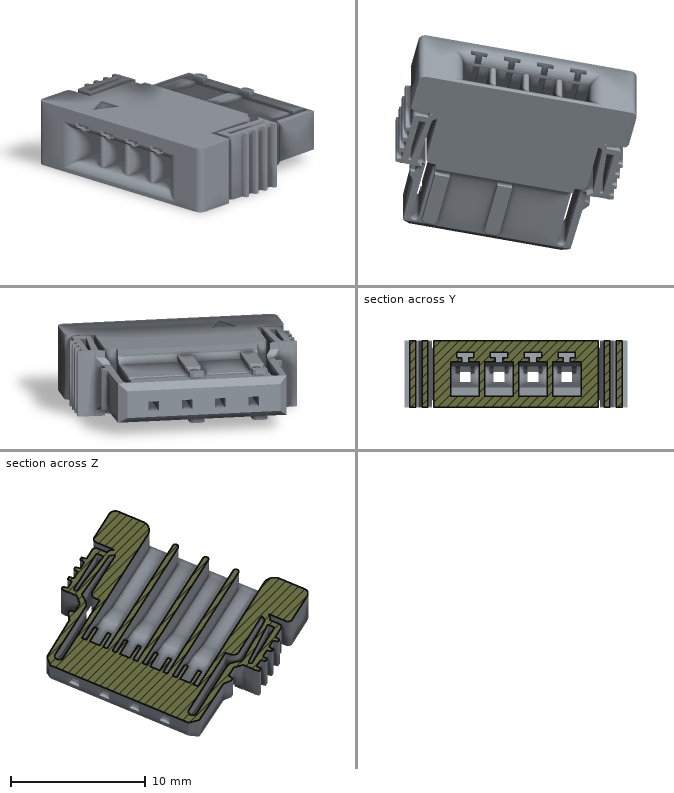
import cadquery as cq

WIDTH = 16.63
LENGTH = 15.0
HEIGHT = 5.0
MID_Z = HEIGHT / 2

BASE_LENGTH = 3.33
BASE_FRONT_RADIUS = 0.5
BASE_REAR_RADIUS = 0.35
BODY_WIDTH = 12.3
BODY_SHOULDER_Y = 7.97
BODY_SHOULDER_RADIUS = 0.5
BODY_END_Y = 8.41

REAR_HALF_HEIGHT = 1.51
REAR_TOP_Z = MID_Z + REAR_HALF_HEIGHT
REAR_BOTTOM_Z = MID_Z - REAR_HALF_HEIGHT
RAMP_HALF_HEIGHT = 2.0
RAMP_END_Y = 8.91
TONGUE_WIDTH = 10.58
END_BAR_Y = 13.3
END_CHAMFER = 0.6
END_BEVEL_HEIGHT = 0.48
REAR_WIDTH = 12.8
SLOT_WIDTH = 0.63
SLOT_END_Y = 14.24

ARM_OUTER_X = 6.47
CATCH_TIP_X = 6.85
CATCH_RAMP_START_Y = 10.6
CATCH_TIP_REAR_Y = 10.08
CATCH_TIP_FRONT_Y = 9.81
CATCH_HEEL_Y = 9.73
JOG_OUTER_X = 6.98
JOG_INNER_X = 6.3
JOG_INNER_START_X = 6.0
JOG_INNER_START_Y = 8.7

GRIP_OUTER_X = 7.93
GRIP_FRONT_Y = 3.75
GRIP_REAR_Y = 8.38
GRIP_RADIUS = 0.33
GRIP_INNER_FRONT_X = 6.5
GRIP_INNER_REAR_X = 6.7
GRIP_SHOULDER_Y = 8.05
WEDGE_OUTER_X = 7.45
WEDGE_FRONT_X = 6.9
WEDGE_REAR_X = 7.22
WEDGE_FRONT_Y = 4.22
WEDGE_REAR_Y = 7.97
WEDGE_REAR_RADIUS = 0.08
TOOTH_COUNT = 4
TOOTH_PITCH = 1.01
TOOTH_ROOT_WIDTH = 0.43
TOOTH_TIP_WIDTH = 0.27
TOOTH_OVERLAP = 0.07
FIRST_TOOTH_Y = 5.15

LINK_OUTER_X = 6.82
LINK_MID_X = 6.74
LINK_MID_Y = 3.5
LINK_BASE_X = 6.5
LINK_INNER_X = 6.39
LINK_INNER_Y = 3.84
LINK_REAR_Y = 4.0

RIB_WIDTH = 1.11
RIB_HEIGHT = 0.42
RIB_CENTERS = (-4.5, 0.27)
RIB_CHAMFER = 0.22
UPPER_RIB_END_Y = 12.5
UPPER_RIB_TAPER = 0.43
UPPER_RIB_TIP_INSET = 0.08
LOWER_RIB_START_Y = 9.38
RIB_END_Y = 13.99

TONGUE_TIP_Y = 13.17
GROOVE_DEPTH = 0.67
TIP_BEVEL_LENGTH = 0.38
TIP_BEVEL_HEIGHT = 0.25
TIP_CORNER_INSET = 0.15

CAVITY_COUNT = 4
CAVITY_PITCH = 2.53
DIVIDER_WIDTH = 0.47
DIVIDER_FRONT_Y = 0.72
DIVIDER_NOSE_RADIUS = 0.22
ENTRY_WIDTH = 9.71
ENTRY_BOTTOM_Z = 0.86
ENTRY_TOP_Z = 3.41
FLARE_LENGTH = 0.88
FLARE_SIDE = 0.88
FLARE_BOTTOM_Z = 0.32
FLARE_TOP_Z = 3.94
CAVITY_NARROW_START_Y = 6.65
CAVITY_NARROW_END_Y = 8.32
CAVITY_END_Y = 11.64
CAVITY_BACK_BOTTOM_Z = 1.48
CAVITY_BACK_TOP_Z = 3.08
WINDOW_WIDTH = 0.8
WINDOW_BOTTOM_Z = 1.91
WINDOW_TOP_Z = 2.66
STOP_OUTER_WIDTH = 1.43
STOP_LENGTH = 1.33
STOP_BOTTOM_Z = 2.53
KEY_WIDTH = 1.25
KEY_TOP_Z = 4.1
KEY_LEDGE_Z = 3.75
KEY_NECK_WIDTH = 0.5

MARK_CENTER_X = -3.8
MARK_BASE_Y = 3.13
MARK_TIP_Y = 1.15
MARK_WIDTH = 1.9
MARK_DEPTH = 0.13


def box(x_min, x_max, y_min, y_max, z_min, z_max):
    size = (x_max - x_min, y_max - y_min, z_max - z_min)
    return cq.Workplane("XY").box(*size, centered=False).translate((x_min, y_min, z_min))


def prism(points, bottom=0.0, top=HEIGHT):
    """Extrude a plan outline between two heights."""
    return cq.Workplane("XY").workplane(offset=bottom).polyline(points).close().extrude(top - bottom)


def side_prism(points, x_min, x_max):
    """Extrude a (Y, Z) outline along X."""
    return cq.Workplane("YZ").workplane(offset=x_min).polyline(points).close().extrude(x_max - x_min)


def both_sides(left):
    return left.union(left.mirror("YZ"))


def body_plan():
    base = box(-WIDTH / 2, WIDTH / 2, 0, BASE_LENGTH, 0, HEIGHT)
    base = base.edges("|Z and <Y").fillet(BASE_FRONT_RADIUS)
    base = base.edges("|Z and >Y").fillet(BASE_REAR_RADIUS)
    body = box(-BODY_WIDTH / 2, BODY_WIDTH / 2, 0, BODY_SHOULDER_Y, 0, HEIGHT)
    body = body.edges("|Z and >Y").fillet(BODY_SHOULDER_RADIUS)
    tongue = box(-TONGUE_WIDTH / 2, TONGUE_WIDTH / 2, 0, LENGTH - END_CHAMFER, 0, HEIGHT)
    end_bar = box(-REAR_WIDTH / 2, REAR_WIDTH / 2, END_BAR_Y, LENGTH, 0, HEIGHT)
    end_bar = end_bar.edges("|Z and >Y").chamfer(END_CHAMFER)
    return base.union(body).union(tongue).union(end_bar)


def latch_arm():
    """Left arm with its catch, joined to the grip by an outward jog."""
    slot_outer_x = -TONGUE_WIDTH / 2 - SLOT_WIDTH
    return prism([
        (slot_outer_x, LENGTH - END_CHAMFER),
        (-REAR_WIDTH / 2, LENGTH - END_CHAMFER),
        (-ARM_OUTER_X, CATCH_RAMP_START_Y),
        (-CATCH_TIP_X, CATCH_TIP_REAR_Y),
        (-CATCH_TIP_X, CATCH_TIP_FRONT_Y),
        (-ARM_OUTER_X, CATCH_HEEL_Y),
        (-ARM_OUTER_X, RAMP_END_Y),
        (-JOG_OUTER_X, GRIP_REAR_Y),
        (-GRIP_INNER_REAR_X, GRIP_SHOULDER_Y),
        (-JOG_INNER_X, GRIP_REAR_Y),
        (-JOG_INNER_START_X, JOG_INNER_START_Y),
        (slot_outer_x, RAMP_END_Y),
    ])


def grip():
    """Left finger grip: tapered block with a wedge slot and outer teeth."""
    block = prism([
        (-GRIP_OUTER_X, GRIP_FRONT_Y),
        (-GRIP_INNER_FRONT_X, GRIP_FRONT_Y),
        (-GRIP_INNER_REAR_X, GRIP_SHOULDER_Y),
        (-JOG_INNER_X, GRIP_REAR_Y),
        (-GRIP_OUTER_X, GRIP_REAR_Y),
    ])
    block = block.edges("|Z and <Y and <X").fillet(GRIP_RADIUS)
    root_x = -GRIP_OUTER_X + TOOTH_OVERLAP
    for index in range(TOOTH_COUNT):
        y = FIRST_TOOTH_Y + index * TOOTH_PITCH
        block = block.union(prism([
            (root_x, y - TOOTH_ROOT_WIDTH / 2),
            (root_x, y + TOOTH_ROOT_WIDTH / 2),
            (-WIDTH / 2 + TOOTH_OVERLAP, y + TOOTH_ROOT_WIDTH / 2 - TOOTH_OVERLAP),
            (-WIDTH / 2, y + TOOTH_TIP_WIDTH / 2),
            (-WIDTH / 2, y - TOOTH_TIP_WIDTH / 2),
            (-WIDTH / 2 + TOOTH_OVERLAP, y - TOOTH_ROOT_WIDTH / 2 + TOOTH_OVERLAP),
        ]))
    wedge_slot = prism([
        (-WEDGE_OUTER_X, WEDGE_FRONT_Y),
        (-WEDGE_FRONT_X, WEDGE_FRONT_Y),
        (-WEDGE_REAR_X, WEDGE_REAR_Y),
        (-WEDGE_OUTER_X, WEDGE_REAR_Y),
    ])
    wedge_slot = wedge_slot.edges("|Z and >Y").fillet(WEDGE_REAR_RADIUS)
    return block.cut(wedge_slot)


def grip_link():
    """Left web that ties the front of the grip to the base, below the rear top level."""
    return (
        cq.Workplane("XY")
        .moveTo(-LINK_OUTER_X, GRIP_FRONT_Y)
        .threePointArc((-LINK_MID_X, LINK_MID_Y), (-LINK_BASE_X, BASE_LENGTH))
        .lineTo(-BODY_WIDTH / 2, BASE_LENGTH)
        .lineTo(-BODY_WIDTH / 2, GRIP_FRONT_Y)
        .lineTo(-LINK_INNER_X, LINK_INNER_Y)
        .lineTo(-GRIP_INNER_FRONT_X, LINK_REAR_Y)
        .close()
        .extrude(REAR_TOP_Z)
    )


def side_envelope():
    """Side outline: full height in front, ramping down to the rear section and its bevelled end."""
    rear_y = LENGTH - END_CHAMFER
    end_half_height = REAR_HALF_HEIGHT - END_BEVEL_HEIGHT
    half_outline = [
        (0, MID_Z),
        (BODY_END_Y, MID_Z),
        (BODY_END_Y, RAMP_HALF_HEIGHT),
        (RAMP_END_Y, REAR_HALF_HEIGHT),
        (rear_y, REAR_HALF_HEIGHT),
        (LENGTH, end_half_height),
    ]
    upper = [(y, MID_Z + h) for y, h in half_outline]
    lower = [(y, MID_Z - h) for y, h in reversed(half_outline)]
    return side_prism(upper + lower, -WIDTH / 2, WIDTH / 2)


def tip_groove():
    """Groove behind the tongue, including the bevel on the tongue tip."""
    half = TONGUE_WIDTH / 2
    bevel_y = TONGUE_TIP_Y - TIP_BEVEL_LENGTH
    bevel_z = REAR_TOP_Z - TIP_BEVEL_HEIGHT
    floor_z = REAR_TOP_Z - GROOVE_DEPTH
    groove = side_prism([
        (bevel_y, REAR_TOP_Z),
        (TONGUE_TIP_Y, bevel_z),
        (TONGUE_TIP_Y, floor_z),
        (END_BAR_Y, floor_z),
        (END_BAR_Y, REAR_TOP_Z),
    ], -half, half)
    corner = prism([
        (-half, bevel_y),
        (-half + TIP_CORNER_INSET, TONGUE_TIP_Y),
        (-half, TONGUE_TIP_Y),
    ], floor_z, REAR_TOP_Z)
    return groove.union(both_sides(corner))


def ribs_at(x):
    """Upper rib, end-bar key and lower rib at one X position."""
    left = x - RIB_WIDTH / 2
    right = x + RIB_WIDTH / 2
    top = REAR_TOP_Z + RIB_HEIGHT
    taper_y = UPPER_RIB_END_Y - UPPER_RIB_TAPER
    upper = prism([
        (left, BODY_END_Y),
        (right, BODY_END_Y),
        (right, taper_y),
        (right - UPPER_RIB_TIP_INSET, UPPER_RIB_END_Y),
        (left + UPPER_RIB_TIP_INSET, UPPER_RIB_END_Y),
        (left, taper_y),
    ], REAR_TOP_Z, top)
    tip_slope = side_prism([
        (taper_y, top),
        (UPPER_RIB_END_Y, top - UPPER_RIB_TIP_INSET),
        (UPPER_RIB_END_Y, top),
    ], left, right)
    key = box(left, right, END_BAR_Y, RIB_END_Y, REAR_TOP_Z, top)
    lower = box(left, right, LOWER_RIB_START_Y, RIB_END_Y, REAR_BOTTOM_Z - RIB_HEIGHT, REAR_BOTTOM_Z)
    key = key.edges("|Z and >Y").chamfer(RIB_CHAMFER)
    lower = lower.edges("|Z and >Y").chamfer(RIB_CHAMFER)
    return upper.cut(tip_slope).union(key).union(lower)


def bell_outline(plane, inner, outer, to_plane):
    """Closed outline flaring from the inner (low, high) pair to the outer pair at Y = 0.

    to_plane orders the across-opening and Y coordinates for the given plane.
    """
    low, high = inner
    outer_low, outer_high = outer
    arc_rise = 1 - 0.5 ** 0.5
    arc_y = arc_rise * FLARE_LENGTH
    return (
        plane.moveTo(*to_plane(outer_low, 0))
        .lineTo(*to_plane(outer_high, 0))
        .threePointArc(to_plane(high + arc_rise * (outer_high - high), arc_y), to_plane(high, FLARE_LENGTH))
        .lineTo(*to_plane(low, FLARE_LENGTH))
        .threePointArc(to_plane(low + arc_rise * (outer_low - low), arc_y), to_plane(outer_low, 0))
        .close()
    )


def flared_entry():
    """Bell-mouthed opening: the overlap of a curved plan outline and a curved side outline."""
    inner_x = ENTRY_WIDTH / 2
    outer_x = inner_x + FLARE_SIDE
    plan = bell_outline(
        cq.Workplane("XY"),
        (-inner_x, inner_x),
        (-outer_x, outer_x),
        lambda across, y: (across, y),
    ).extrude(HEIGHT)
    side = bell_outline(
        cq.Workplane("YZ").workplane(offset=-outer_x),
        (ENTRY_BOTTOM_Z, ENTRY_TOP_Z),
        (FLARE_BOTTOM_Z, FLARE_TOP_Z),
        lambda across, y: (y, across),
    ).extrude(2 * outer_x)
    return plan.intersect(side)


def cavity_run():
    """Full-width passage that narrows in height towards the contact chamber."""
    return side_prism([
        (FLARE_LENGTH, ENTRY_BOTTOM_Z),
        (CAVITY_NARROW_START_Y, ENTRY_BOTTOM_Z),
        (CAVITY_NARROW_END_Y, CAVITY_BACK_BOTTOM_Z),
        (CAVITY_END_Y, CAVITY_BACK_BOTTOM_Z),
        (CAVITY_END_Y, CAVITY_BACK_TOP_Z),
        (CAVITY_NARROW_END_Y, CAVITY_BACK_TOP_Z),
        (CAVITY_NARROW_START_Y, ENTRY_TOP_Z),
        (FLARE_LENGTH, ENTRY_TOP_Z),
    ], -ENTRY_WIDTH / 2, ENTRY_WIDTH / 2)


def divider(x):
    """Wall between cavities with a rounded front edge."""
    half = DIVIDER_WIDTH / 2
    wall = box(x - half, x + half, DIVIDER_FRONT_Y, CAVITY_END_Y, ENTRY_BOTTOM_Z, ENTRY_TOP_Z)
    return wall.edges("|Z and <Y").fillet(DIVIDER_NOSE_RADIUS)


def contact_stops(x):
    """Pair of wedges under the chamber roof, either side of the contact window."""
    wedge_outline = [
        (CAVITY_END_Y - STOP_LENGTH, CAVITY_BACK_TOP_Z),
        (CAVITY_END_Y, CAVITY_BACK_TOP_Z),
        (CAVITY_END_Y, STOP_BOTTOM_Z),
    ]
    wedge = side_prism(wedge_outline, -STOP_OUTER_WIDTH / 2, -WINDOW_WIDTH / 2)
    return both_sides(wedge).translate((x, 0, 0))


def contact_openings(x):
    """T-shaped key channel in the roof and the window through the mating end."""
    head = box(x - KEY_WIDTH / 2, x + KEY_WIDTH / 2, 0, CAVITY_NARROW_START_Y, KEY_LEDGE_Z, KEY_TOP_Z)
    neck = box(x - KEY_NECK_WIDTH / 2, x + KEY_NECK_WIDTH / 2, 0, CAVITY_NARROW_START_Y,
               ENTRY_TOP_Z, KEY_LEDGE_Z)
    window = box(x - WINDOW_WIDTH / 2, x + WINDOW_WIDTH / 2, CAVITY_END_Y, LENGTH,
                 WINDOW_BOTTOM_Z, WINDOW_TOP_Z)
    return head.union(neck).union(window)


def position_mark():
    half = MARK_WIDTH / 2
    return prism([
        (MARK_CENTER_X - half, MARK_BASE_Y),
        (MARK_CENTER_X + half, MARK_BASE_Y),
        (MARK_CENTER_X, MARK_TIP_Y),
    ], HEIGHT - MARK_DEPTH, HEIGHT)


def arm_slot():
    """Left round-ended slot that separates the arm from the tongue inside the end bar."""
    radius = SLOT_WIDTH / 2
    center_x = -TONGUE_WIDTH / 2 - radius
    center_y = SLOT_END_Y - radius
    straight = box(center_x - radius, center_x + radius, RAMP_END_Y, center_y, 0, HEIGHT)
    return straight.union(cq.Workplane("XY").center(center_x, center_y).circle(radius).extrude(HEIGHT))


housing = body_plan().union(both_sides(latch_arm().union(grip())))
housing = housing.cut(both_sides(arm_slot())).intersect(side_envelope())
housing = housing.union(both_sides(grip_link())).cut(tip_groove())
for rib_x in RIB_CENTERS:
    housing = housing.union(ribs_at(rib_x))

cavity_space = flared_entry().union(cavity_run())
housing = housing.cut(cavity_space).cut(position_mark())
first_cavity_x = -(CAVITY_COUNT - 1) / 2 * CAVITY_PITCH
for cavity in range(CAVITY_COUNT):
    cavity_x = first_cavity_x + cavity * CAVITY_PITCH
    housing = housing.cut(contact_openings(cavity_x)).union(contact_stops(cavity_x))
    if cavity > 0:
        housing = housing.union(divider(cavity_x - CAVITY_PITCH / 2).intersect(cavity_space))

result = housing